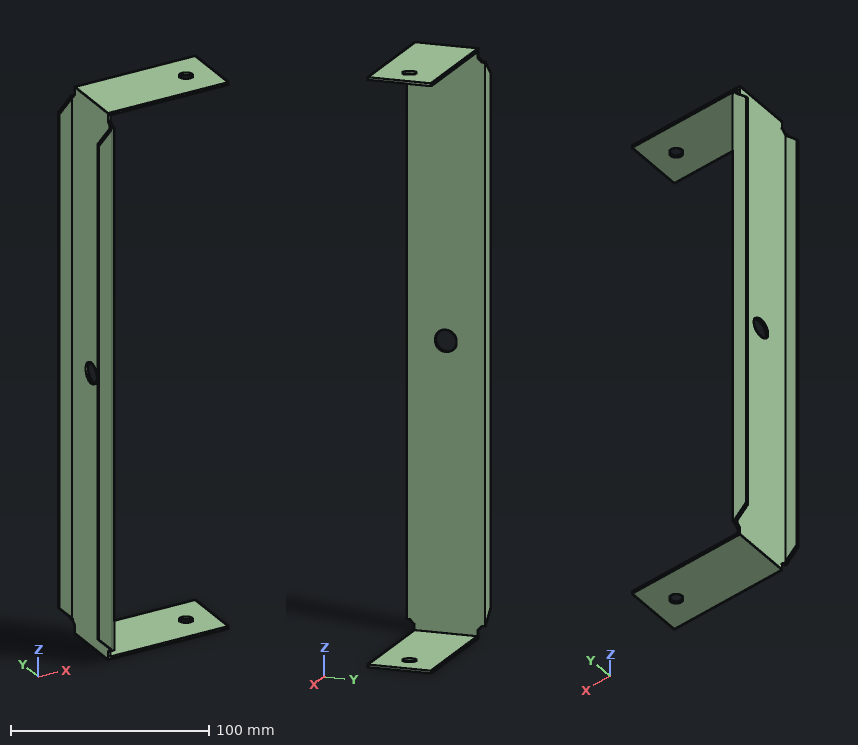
import cadquery as cq

height = 309.0
overall_width = 42.0
overall_depth = 77.38

thickness = 1.5
leg_length = 70.0
leg_width = 34.0

notch_depth = 4.5
flange_end_gap = 6.9
chamfer_start_gap = 7.8
flange_root_depth = 0.5

web_hole_diameter = 11.5
leg_hole_diameter = 7.0
leg_hole_to_tip = 15.0

half_height = height / 2
half_width = overall_width / 2
half_leg_width = leg_width / 2
flange_depth = overall_depth - leg_length
flange_chamfer = flange_depth - flange_root_depth


def make_web():
    """Flat back plate, tapering to the leg width at both ends, with a central hole."""
    shoulder_z = half_height - flange_end_gap
    strip_z = half_height - notch_depth
    shoulder_y = half_width - thickness
    corner = [
        (half_width, shoulder_z),
        (shoulder_y, shoulder_z),
        (half_leg_width, strip_z),
        (half_leg_width, half_height),
    ]
    upper = corner + [(-y, z) for y, z in reversed(corner)]
    lower = [(y, -z) for y, z in reversed(upper)]
    plate = cq.Workplane("YZ").polyline(upper + lower).close().extrude(thickness)
    hole = cq.Workplane("YZ").circle(web_hole_diameter / 2).extrude(thickness)
    return plate.cut(hole)


def make_leg(side):
    """Leg at the top (side = 1) or bottom (side = -1), with its hole."""
    middle_z = side * (half_height - thickness / 2)
    leg = cq.Workplane("XY").box(leg_length, leg_width, thickness)
    leg = leg.translate((leg_length / 2, 0, middle_z))
    hole = cq.Workplane("XY").circle(leg_hole_diameter / 2).extrude(thickness, both=True)
    return leg.cut(hole.translate((leg_length - leg_hole_to_tip, 0, middle_z)))


def make_flange(side):
    """Side lip at +Y (side = 1) or -Y (side = -1), its free corners cut at 45 degrees."""
    root_z = half_height - flange_end_gap
    chamfer_z = half_height - chamfer_start_gap
    tip_z = chamfer_z - flange_chamfer
    upper = [
        (thickness, root_z),
        (-flange_root_depth, root_z),
        (-flange_root_depth, chamfer_z),
        (-flange_depth, tip_z),
    ]
    lower = [(x, -z) for x, z in reversed(upper)]
    lip = cq.Workplane("XZ").polyline(upper + lower).close().extrude(thickness / 2, both=True)
    return lip.translate((0, side * (half_width - thickness / 2), 0))


result = make_web()
for side in (1, -1):
    result = result.union(make_leg(side)).union(make_flange(side))